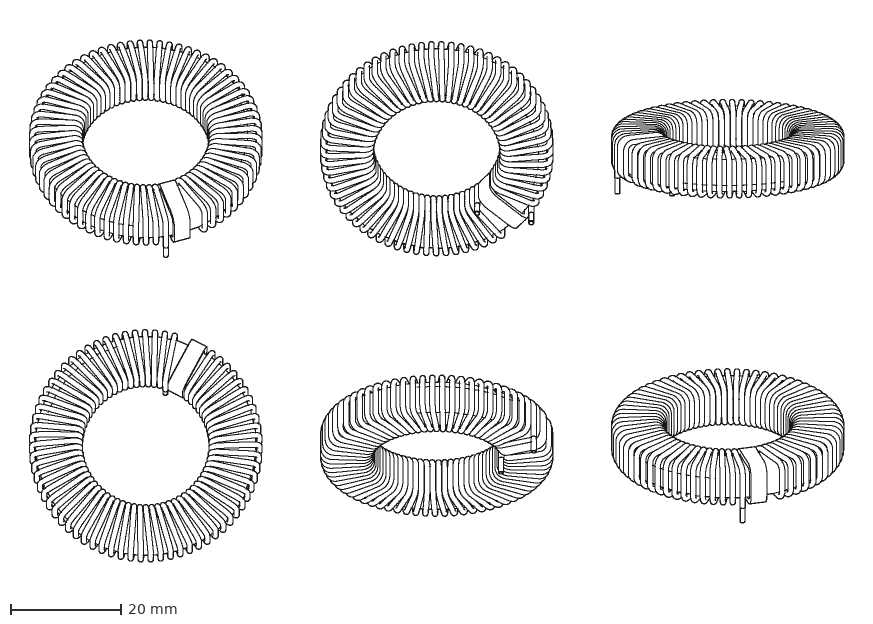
import cadquery as cq
import math


core_outer_diameter = 40.0
core_inner_diameter = 25.0
core_height = 6.0
core_fillet = 1.5

wire_diameter = 1.0
wire_radius = wire_diameter / 2
outer_gap = 0.1
inner_gap = 0.05
face_gap = 0.05
bend_radius = 1.5
turn_count = 68
winding_span = 344.0
turn_pitch = winding_span / turn_count

outer_leg_radius = core_outer_diameter / 2 + outer_gap + wire_radius
inner_leg_radius = core_inner_diameter / 2 - inner_gap - wire_radius
wire_level = core_height / 2 + face_gap + wire_radius
straight_level = wire_level - bend_radius

pin_diameter = 0.93
pin_length = 3.0
pin_tip_chamfer = 0.1
pin_top = -(wire_level + wire_radius)

band_width = 3.0
band_thickness = 0.95
outer_wall_reach = 1.0
band_angle = -10.4


def make_core():
    base = cq.Workplane("XY").workplane(offset=-core_height / 2)
    ring = base.circle(core_outer_diameter / 2).circle(core_inner_diameter / 2).extrude(core_height)
    return ring.edges("%CIRCLE").fillet(core_fillet)


def leg_position(radius, angle):
    """Centre of an upright wire leg, on the plane Z = 0."""
    turn = math.radians(angle)
    return cq.Vector(radius * math.cos(turn), radius * math.sin(turn), 0)


def crossing(start, end, side):
    """Bend, straight run and bend from one leg to the next, over (side 1) or under (side -1) the core."""
    along = (end - start).normalized()
    up = cq.Vector(0, 0, side)
    run_height = up * wire_level
    bend_height = up * straight_level
    bend_middle = bend_radius * math.sqrt(0.5)

    run_start = start + along * bend_radius
    run_end = end - along * bend_radius
    first_middle = run_start + bend_height - along * bend_middle + up * bend_middle
    last_middle = run_end + bend_height + along * bend_middle + up * bend_middle
    return [
        cq.Edge.makeThreePointArc(start + bend_height, first_middle, run_start + run_height),
        cq.Edge.makeLine(run_start + run_height, run_end + run_height),
        cq.Edge.makeThreePointArc(run_end + run_height, last_middle, end + bend_height),
    ]


def make_winding():
    top = cq.Vector(0, 0, straight_level)
    bottom = cq.Vector(0, 0, -straight_level)
    end_level = cq.Vector(0, 0, pin_top)

    first_leg = leg_position(inner_leg_radius, 0)
    last_leg = leg_position(outer_leg_radius, (turn_count - 0.5) * turn_pitch)

    centreline = []
    for turn in range(turn_count):
        inner_leg = leg_position(inner_leg_radius, turn * turn_pitch)
        outer_leg = leg_position(outer_leg_radius, (turn + 0.5) * turn_pitch)
        next_inner_leg = leg_position(inner_leg_radius, (turn + 1) * turn_pitch)
        is_first = turn == 0
        is_last = turn == turn_count - 1

        rise_start = end_level if is_first else bottom
        fall_end = end_level if is_last else bottom
        centreline.append(cq.Edge.makeLine(inner_leg + rise_start, inner_leg + top))
        centreline += crossing(inner_leg, outer_leg, 1)
        centreline.append(cq.Edge.makeLine(outer_leg + top, outer_leg + fall_end))
        if not is_last:
            centreline += crossing(outer_leg, next_inner_leg, -1)

    path = cq.Wire.assembleEdges(centreline)
    section = cq.Workplane("XY", origin=(first_leg + end_level).toTuple()).circle(wire_radius)
    winding = section.sweep(cq.Workplane(path))

    for leg in (first_leg, last_leg):
        pin = cq.Workplane("XY", origin=(leg + end_level).toTuple()).circle(pin_diameter / 2)
        pin = pin.extrude(-pin_length).faces("<Z").chamfer(pin_tip_chamfer)
        winding = winding.union(pin)
    return winding


def make_band():
    band_inner_end = inner_leg_radius - wire_radius
    band_outer_end = core_outer_diameter / 2 + outer_wall_reach
    length = band_outer_end - band_inner_end
    height = 2 * (wire_level + wire_radius)
    outer_corner = bend_radius + wire_radius
    middle = ((band_inner_end + band_outer_end) / 2, 0, 0)

    def rounded_block(inset):
        block = cq.Workplane("XY").box(length - 2 * inset, band_width, height - 2 * inset)
        return block.edges("|Y").fillet(outer_corner - inset)

    band = rounded_block(0).cut(rounded_block(band_thickness))
    return band.translate(middle).rotate((0, 0, 0), (0, 0, 1), band_angle)


core = make_core()
winding = make_winding()
band = make_band()

result = cq.Compound.makeCompound([core.solids().val(), winding.solids().val(), band.solids().val()])